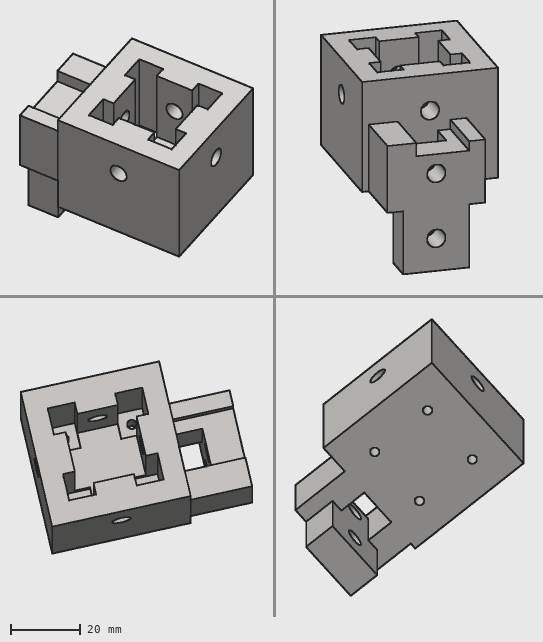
import cadquery as cq

BODY_SIDE = 41.0
BODY_HEIGHT = 33.9
FLOOR_HEIGHT = 10.0
WELL_SIDE = 21.0
CORNER_SIDE = 8.0
CORNER_PITCH = 20.0
CORNER_FLOOR_HEIGHT = 8.0
SCREW_DIAMETER = 2.7
PIN_DIAMETER = 5.5
BODY_PIN_Z = 22.85

OVERALL_LENGTH = 59.65
OVERALL_HEIGHT = 53.35
ARM_WIDTH = 8.7
ARM_GAP = 12.05
REAR_ARM_HEIGHT = 20.6
FRONT_ARM_HEIGHT = 19.45
STEP_WIDTH = 3.9
PLATE_THICKNESS = 10.0
PLATE_WIDTH = 20.0
PLATE_CENTER_Y = 3.75
PLATE_TOP_Z = 16.5
UPPER_PIN_Z = 10.55
PIN_SPACING = 20.0

BRACKET_END_X = BODY_SIDE / 2 - OVERALL_LENGTH
ARM_LENGTH = OVERALL_LENGTH - BODY_SIDE
PLATE_BOTTOM_Z = BODY_HEIGHT - OVERALL_HEIGHT


def block(x_start, y_start, z_start, length, width, height):
    """Make a box from its lowest corner and its three sizes."""
    return cq.Workplane("XY").box(length, width, height, centered=False).translate(
        (x_start, y_start, z_start)
    )


def square_well(side, floor_z, centers):
    """Make square prisms rising from floor_z to the top of the body."""
    return (
        cq.Workplane("XY", origin=(0, 0, floor_z))
        .pushPoints(centers)
        .rect(side, side)
        .extrude(BODY_HEIGHT - floor_z)
    )


def make_body():
    body = cq.Workplane("XY").box(BODY_SIDE, BODY_SIDE, BODY_HEIGHT, centered=(True, True, False))
    offset = CORNER_PITCH / 2
    corners = [(x, y) for x in (-offset, offset) for y in (-offset, offset)]
    screws = cq.Workplane("XY").pushPoints(corners).circle(SCREW_DIAMETER / 2).extrude(BODY_HEIGHT)
    body = body.cut(square_well(WELL_SIDE, FLOOR_HEIGHT, [(0, 0)]))
    body = body.cut(square_well(CORNER_SIDE, CORNER_FLOOR_HEIGHT, corners)).cut(screws)

    for plane in ("XZ", "YZ"):
        pin = (
            cq.Workplane(plane)
            .center(0, BODY_PIN_Z)
            .circle(PIN_DIAMETER / 2)
            .extrude(BODY_SIDE, both=True)
        )
        body = body.cut(pin)
    return body


def make_bracket():
    rear_arm_y = PLATE_CENTER_Y + ARM_GAP / 2
    front_arm_inner_y = PLATE_CENTER_Y - ARM_GAP / 2
    front_arm_y = front_arm_inner_y - ARM_WIDTH
    rear_arm = block(BRACKET_END_X, rear_arm_y, 0, ARM_LENGTH, ARM_WIDTH, REAR_ARM_HEIGHT)
    front_arm = block(BRACKET_END_X, front_arm_y, 0, ARM_LENGTH, ARM_WIDTH, FRONT_ARM_HEIGHT)

    step = block(
        BRACKET_END_X,
        front_arm_inner_y - STEP_WIDTH,
        PLATE_TOP_Z,
        ARM_LENGTH,
        STEP_WIDTH,
        FRONT_ARM_HEIGHT - PLATE_TOP_Z,
    )
    plate = block(
        BRACKET_END_X,
        PLATE_CENTER_Y - PLATE_WIDTH / 2,
        PLATE_BOTTOM_Z,
        PLATE_THICKNESS,
        PLATE_WIDTH,
        PLATE_TOP_Z - PLATE_BOTTOM_Z,
    )
    pins = (
        cq.Workplane("YZ", origin=(BRACKET_END_X, PLATE_CENTER_Y, UPPER_PIN_Z))
        .pushPoints([(0, 0), (0, -PIN_SPACING)])
        .circle(PIN_DIAMETER / 2)
        .extrude(PLATE_THICKNESS)
    )
    return rear_arm.union(front_arm.cut(step)).union(plate).cut(pins)


result = make_body().union(make_bracket())